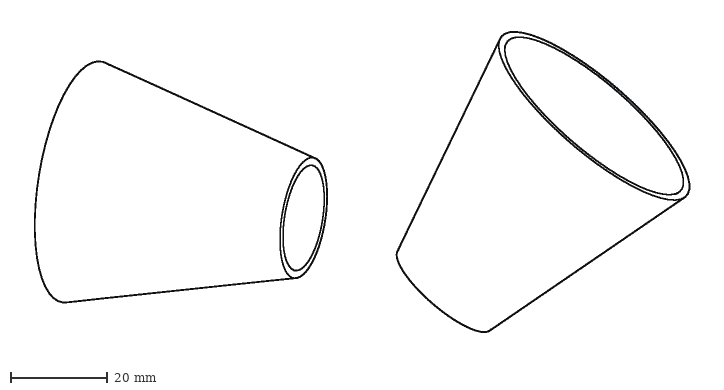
import cadquery as cq

length = 50.0
wide_diameter = 50.8
narrow_diameter = 25.4
wall = 1.65

wide_radius = wide_diameter / 2
narrow_radius = narrow_diameter / 2

wall_section = [
    (0, wide_radius - wall),
    (0, wide_radius),
    (length, narrow_radius),
    (length, narrow_radius - wall),
]

result = (
    cq.Workplane("XY")
    .polyline(wall_section)
    .close()
    .revolve(360, (0, 0, 0), (1, 0, 0))
)